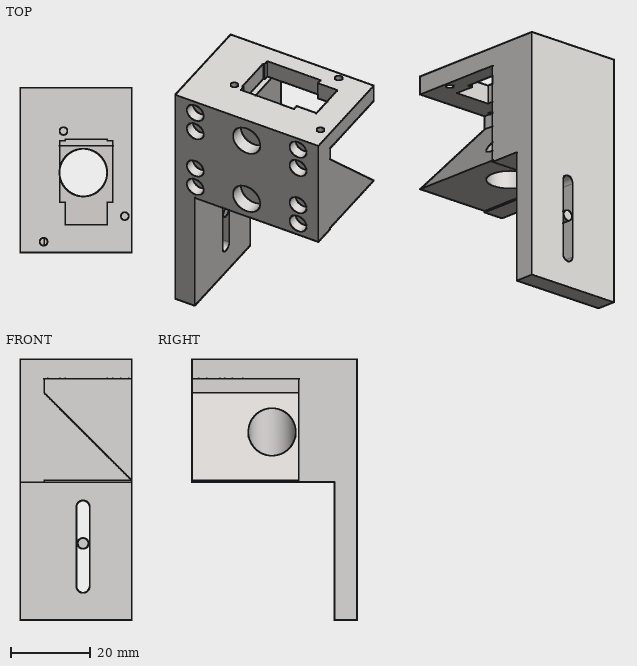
import cadquery as cq

WIDTH = 28.25
DEPTH = 41.8
HEIGHT = 66.0

HEAD_BOTTOM = 34.9
PLATE_THICKNESS = 5.75
PLATE_FRONT = DEPTH - PLATE_THICKNESS

SIDE_WALL = 6.1
TOP_THICKNESS = 4.95
CHAMBER_DEPTH = 27.05
CHAMBER_TOP = HEIGHT - TOP_THICKNESS
RAMP_BOTTOM = 35.3
RAMP_TOP = RAMP_BOTTOM + WIDTH - SIDE_WALL

WINDOW_CENTER_X = 16.7
WIDE_WINDOW_WIDTH = 13.45
WIDE_WINDOW_FRONT = 12.8
WIDE_WINDOW_BACK = 28.3
NARROW_WINDOW_WIDTH = 10.7
NARROW_WINDOW_FRONT = 7.05
NARROW_WINDOW_BACK = 28.7

BEAM_DIAMETER = 12.0
BEAM_CENTER = (16.0, 20.25)
TOP_HOLE_DIAMETER = 2.0
TOP_HOLE_CENTERS = [(5.95, 2.8), (10.95, 30.75), (26.45, 9.25)]
SMALL_SIDE_DEPTH = 3.0
LARGE_SIDE_DEPTH = 3.95
LARGE_SIDE_DIAMETER = 7.9
LARGE_SIDE_Y = 20.9
LARGE_SIDE_HEIGHTS = [40.6, 59.4]
SMALL_SIDE_DIAMETER = 4.9
SMALL_SIDE_SPACING = 29.95
SMALL_SIDE_HEIGHTS = [38.55, 44.5, 56.5, 62.45]

SLOT_X = 15.9
SLOT_WIDTH = 3.3
SLOT_BOTTOM = 6.9
SLOT_TOP = 30.2
PIN_DIAMETER = 2.8
PIN_HEIGHT = 19.4


def box(x_range, y_range, z_range):
    """Box between the given limits along each axis."""
    size = [high - low for low, high in (x_range, y_range, z_range)]
    corner = (x_range[0], y_range[0], z_range[0])
    return cq.Workplane().box(*size, centered=False).translate(corner)


def front_extrusion(outline, depth):
    """Closed XZ outline extruded backward from the front face."""
    return cq.Workplane("XZ").polyline(outline).close().extrude(-depth)


def chamber():
    """Space above the ramp, open at the front and the right."""
    outline = [
        (SIDE_WALL, CHAMBER_TOP),
        (WIDTH, CHAMBER_TOP),
        (WIDTH, RAMP_BOTTOM),
        (SIDE_WALL, RAMP_TOP),
    ]
    return front_extrusion(outline, CHAMBER_DEPTH)


def ramp_underside():
    """Shallow relief below the ramp."""
    return box((SIDE_WALL, WIDTH), (0, CHAMBER_DEPTH), (HEAD_BOTTOM, RAMP_BOTTOM))


def window_opening(width, front, back):
    """Rectangular opening through the top."""
    left = WINDOW_CENTER_X - width / 2
    return box((left, left + width), (front, back), (CHAMBER_TOP, HEIGHT))


def top_holes():
    """Vertical holes as deep as the top is thick."""
    top = cq.Workplane().workplane(offset=CHAMBER_TOP)
    return top.pushPoints(TOP_HOLE_CENTERS).circle(TOP_HOLE_DIAMETER / 2).extrude(TOP_THICKNESS)


def beam_hole():
    """Vertical hole through the ramp."""
    base = cq.Workplane().workplane(offset=HEAD_BOTTOM)
    return base.center(*BEAM_CENTER).circle(BEAM_DIAMETER / 2).extrude(CHAMBER_TOP - HEAD_BOTTOM)


def side_holes(diameter, depth, centers):
    """Blind holes in the left side wall."""
    return cq.Workplane("YZ").pushPoints(centers).circle(diameter / 2).extrude(depth)


def slot():
    """Upright round-ended slot through the mounting plate."""
    middle = (SLOT_BOTTOM + SLOT_TOP) / 2
    plane = cq.Workplane("XZ", origin=(SLOT_X, PLATE_FRONT, middle))
    return plane.slot2D(SLOT_TOP - SLOT_BOTTOM, SLOT_WIDTH, 90).extrude(-PLATE_THICKNESS)


def make_housing():
    small_ys = [LARGE_SIDE_Y + side * SMALL_SIDE_SPACING / 2 for side in (-1, 1)]
    small_centers = [(y, z) for y in small_ys for z in SMALL_SIDE_HEIGHTS]
    large_centers = [(LARGE_SIDE_Y, z) for z in LARGE_SIDE_HEIGHTS]

    head = box((0, WIDTH), (0, DEPTH), (HEAD_BOTTOM, HEIGHT))
    plate = box((0, WIDTH), (PLATE_FRONT, DEPTH), (0, HEAD_BOTTOM))
    body = head.union(plate)
    cutters = [
        chamber(),
        ramp_underside(),
        window_opening(WIDE_WINDOW_WIDTH, WIDE_WINDOW_FRONT, WIDE_WINDOW_BACK),
        window_opening(NARROW_WINDOW_WIDTH, NARROW_WINDOW_FRONT, NARROW_WINDOW_BACK),
        top_holes(),
        beam_hole(),
        side_holes(SMALL_SIDE_DIAMETER, SMALL_SIDE_DEPTH, small_centers),
        side_holes(LARGE_SIDE_DIAMETER, LARGE_SIDE_DEPTH, large_centers),
        slot(),
    ]
    for cutter in cutters:
        body = body.cut(cutter)
    return body


def make_pin():
    """Pin as long as the mounting plate is thick, loose in the slot."""
    plane = cq.Workplane("XZ", origin=(SLOT_X, PLATE_FRONT, PIN_HEIGHT))
    return plane.circle(PIN_DIAMETER / 2).extrude(-PLATE_THICKNESS)


housing = make_housing()
pin = make_pin()
result = cq.Compound.makeCompound([housing.val(), pin.val()])